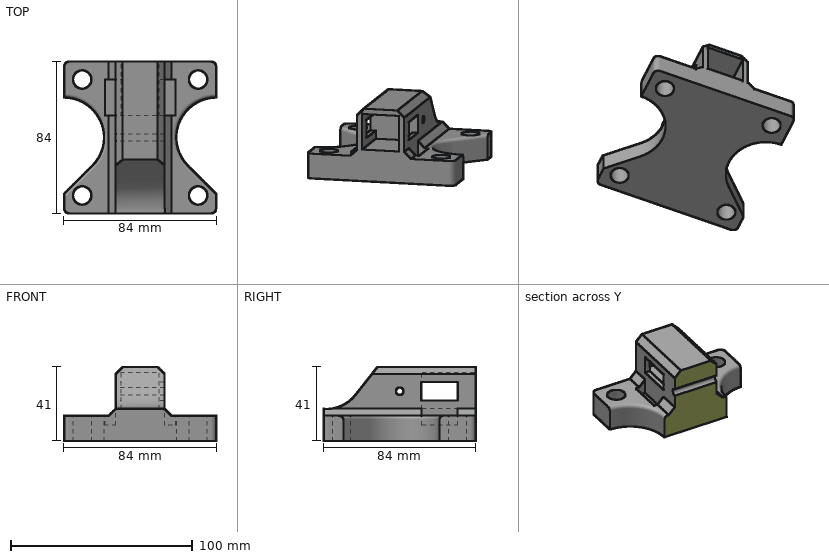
import cadquery as cq
import math

side = 84.0
half_side = side / 2
base_height = 14.0
corner_radius = 2.9
bolt_spacing = 64.0
bolt_diameter = 10.0

cutout_radius = 22.0
cutout_fillet = 2.0

total_height = 41.0
ridge_width = 27.05
ridge_chamfer = 3.9
foot_size = 3.9
slope_start_y = -12.3
arc_start_y = -24.5
arc_start_z = 25.45

window_length = 20.0
window_height = 10.1
window_center_y = 22.0
window_center_z = 27.55
pocket_width = 39.0
pocket_depth = 5.0

ridge_wall = 3.0

pin_diameter = 4.0


def make_base():
    base = cq.Workplane("XY").rect(side, side).extrude(base_height)
    base = base.edges("|Z").fillet(corner_radius)
    cutout = make_cutout()
    base = base.cut(cutout).cut(cutout.mirror("YZ"))

    rim_strip = cq.selectors.BoxSelector(
        (-half_side, -bolt_spacing / 2, base_height - 0.8),
        (half_side, cutout_radius + 0.8, base_height + 0.8),
    )
    rim_edges = base.edges(rim_strip).edges("not (|X or |Y)")
    return base.newObject(rim_edges.vals()).fillet(cutout_fillet)


def make_cutout():
    """Cutout of the +X side."""
    tangent = cutout_radius * math.sqrt(0.5)
    line_end_y = -cutout_radius * math.sqrt(2)
    return (
        cq.Workplane("XY")
        .moveTo(half_side, cutout_radius)
        .threePointArc((half_side - cutout_radius, 0), (half_side - tangent, -tangent))
        .lineTo(half_side, line_end_y)
        .close()
        .extrude(base_height)
    )


def make_ridge():
    half_ridge = ridge_width / 2
    half_foot = half_ridge + foot_size
    foot_top = base_height + foot_size
    section = [
        (-half_foot, 0),
        (half_foot, 0),
        (half_foot, base_height),
        (half_ridge, foot_top),
        (half_ridge, total_height - ridge_chamfer),
        (half_ridge - ridge_chamfer, total_height),
        (ridge_chamfer - half_ridge, total_height),
        (-half_ridge, total_height - ridge_chamfer),
        (-half_ridge, foot_top),
        (-half_foot, base_height),
    ]
    ridge = cq.Workplane("XZ").polyline(section).close().extrude(half_side, both=True)

    above_slope = (
        cq.Workplane("YZ")
        .moveTo(slope_start_y, total_height)
        .lineTo(arc_start_y, arc_start_z)
        .tangentArcPoint((-half_side, foot_top), relative=False)
        .lineTo(-half_side, total_height)
        .close()
        .extrude(half_side, both=True)
    )
    return ridge.cut(above_slope)


def make_bolt_holes():
    return (
        cq.Workplane("XY")
        .rect(bolt_spacing, bolt_spacing, forConstruction=True)
        .vertices()
        .circle(bolt_diameter / 2)
        .extrude(base_height)
    )


def make_window():
    return cq.Workplane("XY").box(side, window_length, window_height).translate(
        (0, window_center_y, window_center_z)
    )


def make_cavity():
    cavity_width = ridge_width - 2 * ridge_wall
    floor_z = base_height + foot_size
    cavity_height = total_height - ridge_wall - floor_z
    cavity_start_y = window_center_y - window_length / 2
    cavity_length = half_side - cavity_start_y
    return (
        cq.Workplane("XY")
        .box(cavity_width, cavity_length, cavity_height, centered=(True, False, False))
        .translate((0, cavity_start_y, floor_z))
    )


def make_foot_pockets():
    pocket_width_each = (pocket_width - ridge_width) / 2
    pocket_center_x = (pocket_width + ridge_width) / 4
    return (
        cq.Workplane("XY")
        .workplane(offset=base_height - pocket_depth)
        .pushPoints([(sign * pocket_center_x, window_center_y) for sign in (-1, 1)])
        .rect(pocket_width_each, window_length)
        .extrude(foot_size + pocket_depth)
    )


def make_pin_hole():
    return (
        cq.Workplane("YZ")
        .center(0, window_center_z)
        .circle(pin_diameter / 2)
        .extrude(half_side, both=True)
    )


result = (
    make_base()
    .union(make_ridge())
    .cut(make_bolt_holes())
    .cut(make_window())
    .cut(make_cavity())
    .cut(make_foot_pockets())
    .cut(make_pin_hole())
)